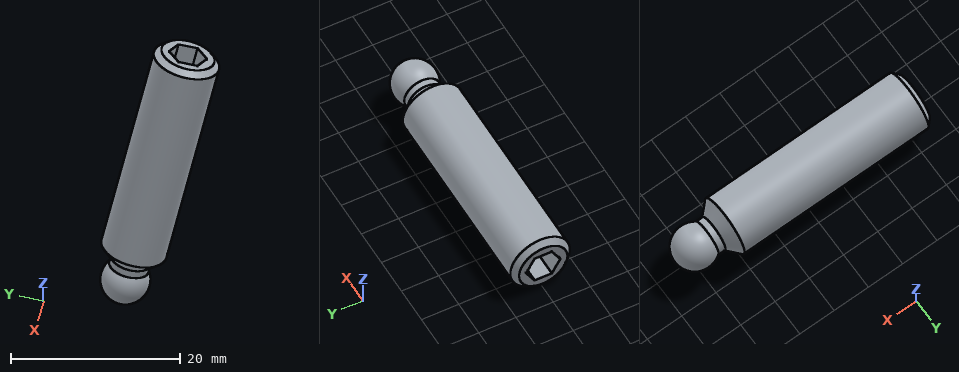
import cadquery as cq
import math

total_length = 35.0
body_diameter = 8.0
socket_end_chamfer = 0.77
neck_diameter = 4.8
ball_diameter = 6.0
cone_start = 27.6
hex_across_flats = 4.0
hex_depth = 4.0

body_radius = body_diameter / 2
neck_radius = neck_diameter / 2
ball_radius = ball_diameter / 2

cone_end = cone_start + body_radius - neck_radius

ball_center = total_length - ball_radius
neck_end = ball_center - math.sqrt(ball_radius**2 - neck_radius**2)


def turned_pin():
    """Body, cone, neck and ball revolved about the X axis."""
    profile = (
        cq.Workplane("XY")
        .lineTo(0, body_radius - socket_end_chamfer)
        .lineTo(socket_end_chamfer, body_radius)
        .lineTo(cone_start, body_radius)
        .lineTo(cone_end, neck_radius)
        .lineTo(neck_end, neck_radius)
        .threePointArc((ball_center, ball_radius), (total_length, 0))
        .close()
    )
    return profile.revolve(360, (0, 0, 0), (1, 0, 0))


def hex_socket():
    """Hexagonal socket with two corners on the Y axis and flats facing Z."""
    across_corners = hex_across_flats / math.cos(math.radians(30))
    return cq.Workplane("YZ").polygon(6, across_corners).extrude(hex_depth)


result = turned_pin().cut(hex_socket())